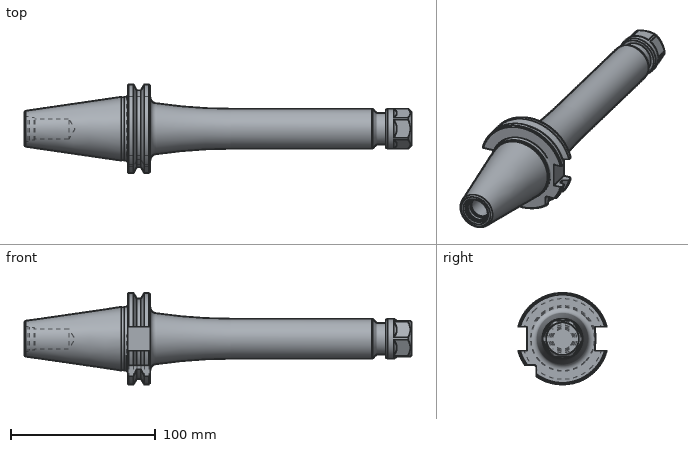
import cadquery as cq
import math

LENGTH = 268.2
GAUGE_X = 68.1
GAUGE_RADIUS = 22.3
TAPER_SLOPE = 7 / 48
TAPER_END_CHAMFER = 1.0

RELIEF_START_X = 67.3
LAND_START_X = 69.2
RELIEF_DEPTH = 0.3
LAND_FILLET = 0.8

FLANGE_START_X = 71.5
FLANGE_WIDTH = 15.8
FLANGE_DIAMETER = 63.5
FLANGE_FRONT_CHAMFER = 0.8
FLANGE_BACK_CHAMFER = 1.3
V_CENTER_X = 79.5
V_FLOOR_WIDTH = 3.0
V_FLOOR_RADIUS = 28.0
V_HALF_ANGLE = 30

SLOT_WIDTH = 16.4
SLOT_FLOOR_FRONT = 24.7
SLOT_FLOOR_BACK = 22.5
NOTCH_Y = 18.2
NOTCH_Z = 18.2
NOTCH_FILLET = 1.3

ROOT_FILLET = 4.0
NECK_RADIUS = 17.7
SHANK_START_X = 142.7
SHANK_RADIUS = 14.0
SHANK_END_X = 241.2
SHANK_END_CHAMFER = 0.3
SHANK_CHAMFER_LENGTH = 0.8

NOSE_RADIUS = 11.0
NOSE_FILLET = 1.3
SHOULDER_ANGLE = 45

BORE_CHAMFER_RADIUS = 9.7
PILOT_RADIUS = 8.5
PILOT_DEPTH = 2.7
ENTRY_RADIUS = 7.8
ENTRY_DEPTH = 6.7
THREAD_RADIUS = 7.0
THREAD_DEPTH = 30.8
DRILL_TIP_ANGLE = 59

NUT_START_X = 250.0
NUT_RADIUS = 14.0
NUT_BACK_CHAMFER = 0.8
NUT_BACK_CHAMFER_LENGTH = 1.5
COLLAR_END_X = 255.6
COLLAR_CONE_LENGTH = 2.1
HEX_SIDES = 6
HEX_ACROSS_FLATS = 25.0
NUT_NOSE_CHAMFER = 2.7

FLANGE_RADIUS = FLANGE_DIAMETER / 2
FLANGE_END_X = FLANGE_START_X + FLANGE_WIDTH


def revolved(profile):
    """Solid of revolution about X from a closed half profile of (x, radius)."""
    return profile.close().revolve(360, (0, 0, 0), (1, 0, 0))


def taper_radius(x):
    return GAUGE_RADIUS + (x - GAUGE_X) * TAPER_SLOPE


def neck_arc_middle(start_x):
    """Middle of the arc from the neck root that runs tangent into the shank."""
    run = SHANK_START_X - start_x
    rise = NECK_RADIUS - SHANK_RADIUS
    arc_radius = (run**2 + rise**2) / (2 * rise)
    half_angle = math.asin(run / arc_radius) / 2
    x = SHANK_START_X - arc_radius * math.sin(half_angle)
    return x, SHANK_RADIUS + arc_radius * (1 - math.cos(half_angle))


def holder_blank():
    neck_x = FLANGE_END_X + ROOT_FILLET
    relief_radius = taper_radius(RELIEF_START_X) - RELIEF_DEPTH
    shoulder_radius = SHANK_RADIUS - SHANK_END_CHAMFER
    shoulder_angle = math.radians(SHOULDER_ANGLE)
    nose_x = SHANK_END_X + (shoulder_radius - NOSE_RADIUS) / math.tan(shoulder_angle)
    fillet_reach = NOSE_FILLET * math.tan(shoulder_angle / 2)
    fillet_start = (
        nose_x - fillet_reach * math.cos(shoulder_angle),
        NOSE_RADIUS + fillet_reach * math.sin(shoulder_angle),
    )
    wall_run = (FLANGE_RADIUS - V_FLOOR_RADIUS) * math.tan(math.radians(V_HALF_ANGLE))
    floor_half = V_FLOOR_WIDTH / 2
    profile = (
        cq.Workplane("XY")
        .lineTo(0, taper_radius(0) - TAPER_END_CHAMFER)
        .lineTo(TAPER_END_CHAMFER, taper_radius(TAPER_END_CHAMFER))
        .lineTo(RELIEF_START_X, taper_radius(RELIEF_START_X))
        .lineTo(RELIEF_START_X, relief_radius)
        .lineTo(LAND_START_X, relief_radius)
        .lineTo(LAND_START_X, GAUGE_RADIUS)
        .lineTo(FLANGE_START_X - LAND_FILLET, GAUGE_RADIUS)
        .tangentArcPoint((FLANGE_START_X, GAUGE_RADIUS + LAND_FILLET), relative=False)
        .lineTo(FLANGE_START_X, FLANGE_RADIUS - FLANGE_FRONT_CHAMFER)
        .lineTo(FLANGE_START_X + FLANGE_FRONT_CHAMFER, FLANGE_RADIUS)
        .lineTo(V_CENTER_X - floor_half - wall_run, FLANGE_RADIUS)
        .lineTo(V_CENTER_X - floor_half, V_FLOOR_RADIUS)
        .lineTo(V_CENTER_X + floor_half, V_FLOOR_RADIUS)
        .lineTo(V_CENTER_X + floor_half + wall_run, FLANGE_RADIUS)
        .lineTo(FLANGE_END_X - FLANGE_BACK_CHAMFER, FLANGE_RADIUS)
        .lineTo(FLANGE_END_X, FLANGE_RADIUS - FLANGE_BACK_CHAMFER)
        .lineTo(FLANGE_END_X, NECK_RADIUS + ROOT_FILLET)
        .tangentArcPoint((neck_x, NECK_RADIUS), relative=False)
        .threePointArc(neck_arc_middle(neck_x), (SHANK_START_X, SHANK_RADIUS))
        .lineTo(SHANK_END_X - SHANK_CHAMFER_LENGTH, SHANK_RADIUS)
        .lineTo(SHANK_END_X, shoulder_radius)
        .lineTo(*fillet_start)
        .tangentArcPoint((nose_x + fillet_reach, NOSE_RADIUS), relative=False)
        .lineTo(NUT_START_X, NOSE_RADIUS)
        .lineTo(NUT_START_X, 0)
    )
    return revolved(profile)


def flange_box(y_min, y_max, z_min, z_max):
    """Box that spans the flange width exactly."""
    size = (FLANGE_WIDTH, y_max - y_min, z_max - z_min)
    return cq.Workplane("XY").box(*size, centered=False).translate((FLANGE_START_X, y_min, z_min))


def drive_slots():
    half = SLOT_WIDTH / 2
    front = flange_box(-FLANGE_RADIUS, -SLOT_FLOOR_FRONT, -half, half)
    back = flange_box(SLOT_FLOOR_BACK, FLANGE_RADIUS, -half, half)
    return front.union(back)


def orientation_notch():
    notch = flange_box(-FLANGE_RADIUS, -NOTCH_Y, -FLANGE_RADIUS, -NOTCH_Z)
    return notch.edges("|X and >Y and >Z").fillet(NOTCH_FILLET)


def draw_bar_bore():
    """Stepped blind bore with conical shoulders at 45 degrees."""
    mouth_chamfer = BORE_CHAMFER_RADIUS - PILOT_RADIUS
    entry_step = PILOT_RADIUS - ENTRY_RADIUS
    thread_step = ENTRY_RADIUS - THREAD_RADIUS
    tip = THREAD_RADIUS / math.tan(math.radians(DRILL_TIP_ANGLE))
    profile = (
        cq.Workplane("XY")
        .lineTo(0, BORE_CHAMFER_RADIUS)
        .lineTo(mouth_chamfer, PILOT_RADIUS)
        .lineTo(PILOT_DEPTH, PILOT_RADIUS)
        .lineTo(PILOT_DEPTH + entry_step, ENTRY_RADIUS)
        .lineTo(ENTRY_DEPTH, ENTRY_RADIUS)
        .lineTo(ENTRY_DEPTH + thread_step, THREAD_RADIUS)
        .lineTo(THREAD_DEPTH, THREAD_RADIUS)
        .lineTo(THREAD_DEPTH + tip, 0)
    )
    return revolved(profile)


def make_holder():
    return holder_blank().cut(drive_slots()).cut(orientation_notch()).cut(draw_bar_bore())


def nut_blank():
    """Chamfered round envelope of the nut."""
    profile = (
        cq.Workplane("XY")
        .moveTo(NUT_START_X, 0)
        .lineTo(NUT_START_X, NUT_RADIUS - NUT_BACK_CHAMFER)
        .lineTo(NUT_START_X + NUT_BACK_CHAMFER_LENGTH, NUT_RADIUS)
        .lineTo(LENGTH - NUT_NOSE_CHAMFER, NUT_RADIUS)
        .lineTo(LENGTH, NUT_RADIUS - NUT_NOSE_CHAMFER)
        .lineTo(LENGTH, 0)
    )
    return revolved(profile)


def hex_with_collar():
    """Hexagon with flats facing +Z and -Z, and the round collar behind it."""
    corner_diameter = HEX_ACROSS_FLATS / math.cos(math.pi / HEX_SIDES)
    collar_chamfer = NUT_RADIUS - HEX_ACROSS_FLATS / 2
    hexagon = (
        cq.Workplane("YZ", origin=(NUT_START_X, 0, 0))
        .polygon(HEX_SIDES, corner_diameter)
        .extrude(LENGTH - NUT_START_X)
    )
    collar = (
        cq.Workplane("YZ", origin=(NUT_START_X, 0, 0))
        .circle(NUT_RADIUS)
        .extrude(COLLAR_END_X + COLLAR_CONE_LENGTH - NUT_START_X)
        .faces(">X")
        .chamfer(COLLAR_CONE_LENGTH, collar_chamfer)
    )
    return hexagon.union(collar)


def make_nut():
    return nut_blank().intersect(hex_with_collar())


holder = make_holder()
nut = make_nut()
result = cq.Compound.makeCompound([holder.val(), nut.val()])